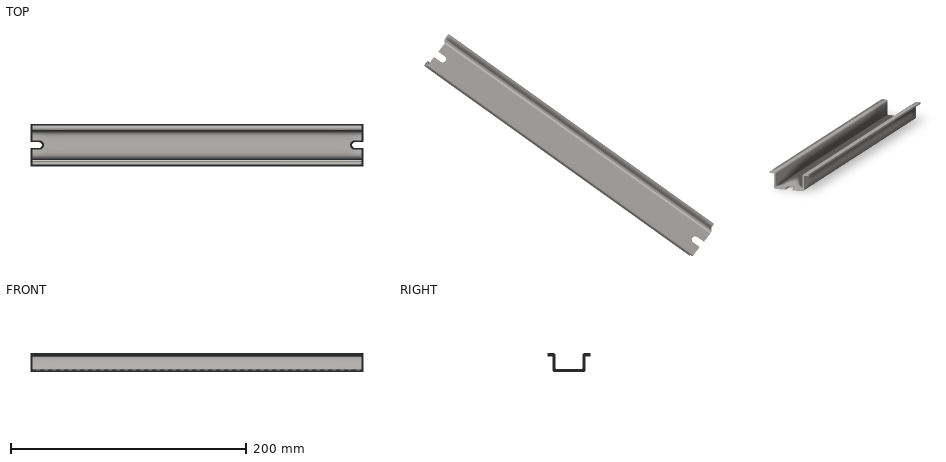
import cadquery as cq

length = 282.0
width = 35.0
height = 15.0
sheet = 1.5
channel_width = 27.0
inner_radius = 0.5
outer_radius = 1.8

slot_width = 6.2
slot_depth = 10.0

half_width = width / 2
half_outer = channel_width / 2
half_inner = half_outer - sheet
flange_underside = height - sheet


def round_bends(rail, corners, radius):
    """Fillet the edges along X at the given (y, z) corners and their mirror images."""
    for y, z in corners:
        for side in (-1, 1):
            corner_edge = cq.selectors.NearestToPointSelector((0, side * y, z))
            rail = rail.edges("|X").edges(corner_edge).fillet(radius)
    return rail


def make_rail():
    """Extrude the hat section along X and round its bends."""
    right_side = [
        (half_outer, 0),
        (half_outer, flange_underside),
        (half_width, flange_underside),
        (half_width, height),
        (half_inner, height),
        (half_inner, sheet),
    ]
    left_side = [(-y, z) for y, z in reversed(right_side)]
    rail = (
        cq.Workplane("YZ", origin=(-length / 2, 0, 0))
        .polyline(right_side + left_side)
        .close()
        .extrude(length)
    )
    concave_corners = [(half_inner, sheet), (half_outer, flange_underside)]
    convex_corners = [(half_outer, 0), (half_inner, height)]
    rail = round_bends(rail, concave_corners, inner_radius)
    return round_bends(rail, convex_corners, outer_radius)


def make_slot(end):
    """Round-ended slot cutter entering from the -X (-1) or +X (+1) end."""
    return (
        cq.Workplane("XY")
        .center(end * length / 2, 0)
        .slot2D(2 * slot_depth, slot_width)
        .extrude(sheet)
    )


result = make_rail()
for end in (-1, 1):
    result = result.cut(make_slot(end))